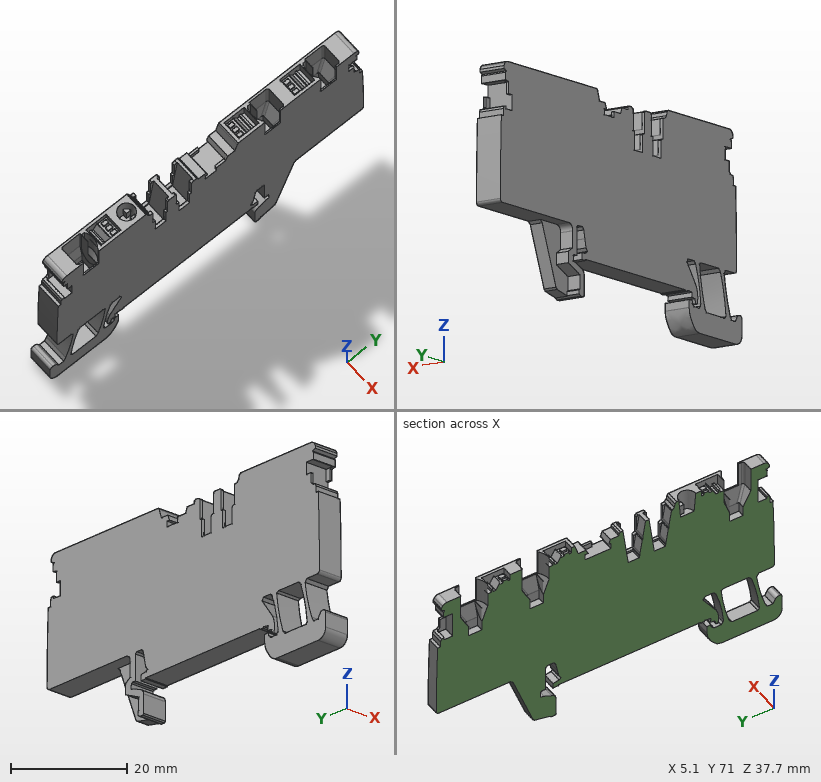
import cadquery as cq
import math



thickness = 5.1
height = 37.65
overall_length = 70.99
housing_length = 69.4
housing_base_z = 12.5
rail_seat_z = 6.9
joint_overlap = 0.5

half_thickness = thickness / 2
housing_end = housing_length / 2
foot_end = housing_end - overall_length

ear_thickness = 0.47
end_cavity_depth = 3.35
end_cavity_bottom = 29.2
end_cavity_middle = 32.0
end_cavity_top = 34.3
upper_ear_inset = 2.4
lower_ear_inset = 2.15
end_cut_margin = 0.5

shelf_z = 35.6
shelf_floor_z = 34.5
shelf_cavity_floor_z = 33.45
shelf_cavity_start = -1.1
shelf_cavity_middle = 1.4
shelf_cavity_end = 4.1

slot_pitch = 5.35
slot_narrow_start = -4.72
slot_narrow_width = 2.35
slot_wide_start = -4.32
slot_wide_width = 3.35
slot_floor_z = 28.8
slot_step_z = 32.2
slot_rib_z = 36.3
slot_rim_chamfer = 0.3
slot_pocket_width = 3.9
slot_pocket_drop = 0.4
slot_pocket_start = -3.65
slot_pocket_end = -8.2
slot_pocket_floor_end = -6.9

entry_pitch = 12.6
outer_entry_y = 29.6
single_entry_y = 29.8
entry_length = 4.25
entry_floor_length = 2.65
entry_depth = 10.0
entry_mouth_depth = 5.0
funnel_depth = 3.0
entry_left = -2.1
entry_right = 2.25
entry_floor_left = -1.55
entry_floor_right = 1.3
entry_corner_radius = 0.4
entry_window_length = 3.5
entry_window_offset = 1.1
guide_top_radius = 3.3
guide_floor_radius = 2.15
guide_left = -1.75
guide_center_offset = 2.1

release_offset = 5.5
release_length = 4.55
release_width = 3.9
release_depth = 2.2
lever_height = 1.4
lever_ramp_start = 1.6
lever_ramp_end = 2.5
plateau_height = 1.0
rib_offset = 0.75
rib_width = 0.4
rib_height = 0.6
pad_pitch = 1.15
pad_width = 0.75
pad_length = 1.1
pad_height = 0.4
pad_offset = 3.6

socket_y = -16.8
socket_top_radius = 1.7
socket_floor_radius = 1.35
socket_depth = 4.0
socket_key_size = 1.0
socket_key_x = 0.5
socket_key_y = 0.4

web_recess = half_thickness


def extrude_profile(sketch, x_start=-half_thickness, x_end=half_thickness):
    """Extrude a closed YZ wire between two X positions."""
    return sketch.extrude(x_end - x_start).translate((x_start, 0, 0))


def box(x_range, y_range, z_range):
    """Axis-aligned block from its three coordinate ranges, each in either order."""
    lows = [min(r) for r in (x_range, y_range, z_range)]
    sizes = [abs(r[1] - r[0]) for r in (x_range, y_range, z_range)]
    return cq.Workplane("XY").box(*sizes, centered=False).translate(tuple(lows))


def housing_end_points(side):
    """Stepped upper edge of one housing end, from the top down; side is +1 or -1 along Y."""
    inset_and_z = [
        (1.3, 37.2),
        (1.05, 36.7),
        (1.05, 36.2),
        (1.75, 35.9),
        (1.5, 35.6),
        (1.5, 34.3),
        (upper_ear_inset, 34.1),
        (upper_ear_inset, end_cavity_middle),
        (lower_ear_inset, end_cavity_middle),
        (lower_ear_inset, 30.1),
        (1.75, 29.7),
        (1.1, 29.6),
        (0.88, 29.1),
        (0.88, 27.9),
        (0.28, 27.9),
    ]
    return [(side * (housing_end - inset), z) for inset, z in inset_and_z]


def slot_points(index):
    """One stepped bridge slot in the outline, from its +Y rim to its -Y rim."""
    shift = -index * slot_pitch
    wide_end = slot_wide_start - slot_wide_width
    narrow_end = slot_narrow_start - slot_narrow_width
    rim_z = slot_rib_z - slot_rim_chamfer
    y_and_z = [
        (slot_wide_start, rim_z),
        (slot_wide_start, slot_step_z),
        (slot_narrow_start, slot_step_z),
        (slot_narrow_start, slot_floor_z),
        (narrow_end, slot_floor_z),
        (narrow_end, slot_step_z - 0.25),
        (wide_end, slot_step_z + 0.1),
        (wide_end, rim_z),
    ]
    return [(y + shift, z) for y, z in y_and_z]


def make_housing():
    """Full-thickness housing with the stepped top, the rail seat and the rail hook."""
    top_corner_inset = 2.2
    top_arc_inset = 1.65
    top_arc_z = height - 0.15
    flank_mid_z = 20.6
    flank_mid_inset = 0.07
    base_corner = 0.6
    base_top_z = housing_base_z + base_corner
    base_arc_inset = base_corner * (1 - math.sqrt(0.5))
    base_arc_z = housing_base_z + base_arc_inset
    left_ends = housing_end_points(1)
    right_ends = housing_end_points(-1)

    shelf_points = [
        (6.3, height),
        (6.1, 37.3),
        (5.54, shelf_z),
        (3.95, shelf_z),
        (3.45, shelf_floor_z),
        (-0.6, shelf_floor_z),
        (-1.0, shelf_z),
        (-2.75, shelf_z),
        (-2.8, 36.05),
        (-3.1, slot_rib_z),
        (-3.75, slot_rib_z),
    ]
    rib_top_points = [(-7.95, slot_rib_z), (-9.4, slot_rib_z)]
    tower_points = [(-13.7, 36.1), (-14.1, 36.6), (-14.25, 37.3), (-14.6, height)]

    hook_points = [
        (-20.45, housing_base_z),
        (-20.1, 11.9),
        (-22.75, 8.25),
    ]
    seat_points = [
        (-23.1, 5.0),
        (-22.7, 5.0),
        (-22.4, 5.85),
        (-21.5, 5.95),
        (-21.6, 6.8),
        (-20.5, 6.95),
        (-20.3, 6.75),
        (-19.6, 6.75),
        (-19.5, rail_seat_z),
        (9.55, rail_seat_z),
        (9.6, 6.7),
        (10.75, 6.7),
        (10.75, 7.85),
        (9.5, 8.05),
        (9.15, 8.4),
        (9.55, 8.95),
        (9.9, 10.5),
        (10.2, 12.0),
        (10.6, housing_base_z),
    ]

    outline = (
        cq.Workplane("YZ")
        .moveTo(housing_end - top_corner_inset, height)
        .lineTo(*shelf_points[0])
        .polyline(shelf_points[1:], includeCurrent=True)
        .polyline(slot_points(0), includeCurrent=True)
        .polyline(rib_top_points, includeCurrent=True)
        .polyline(slot_points(1), includeCurrent=True)
        .polyline(tower_points, includeCurrent=True)
        .lineTo(-housing_end + top_corner_inset, height)
        .threePointArc((-housing_end + top_arc_inset, top_arc_z), right_ends[0])
        .polyline(right_ends[1:], includeCurrent=True)
        .threePointArc((-housing_end + flank_mid_inset, flank_mid_z), (-housing_end, base_top_z))
        .threePointArc(
            (-housing_end + base_arc_inset, base_arc_z),
            (-housing_end + base_corner, housing_base_z),
        )
        .polyline(hook_points, includeCurrent=True)
        .threePointArc((-23.15, 7.2), seat_points[0])
        .polyline(seat_points[1:], includeCurrent=True)
        .lineTo(housing_end - base_corner, housing_base_z)
        .threePointArc((housing_end - base_arc_inset, base_arc_z), (housing_end, base_top_z))
        .threePointArc((housing_end - flank_mid_inset, flank_mid_z), left_ends[-1])
        .polyline(left_ends[-2::-1], includeCurrent=True)
        .threePointArc((housing_end - top_arc_inset, top_arc_z), (housing_end - top_corner_inset, height))
        .close()
    )
    return extrude_profile(outline)


def make_latch():
    """Rigid latch: a bent full-thickness strip backed by a triangular web."""
    joint_z = housing_base_z + joint_overlap
    strip = (
        cq.Workplane("YZ")
        .moveTo(14.55, joint_z)
        .lineTo(14.55, housing_base_z)
        .threePointArc((13.8, 12.15), (13.5, 11.25))
        .lineTo(13.5, 8.25)
        .lineTo(14.75, 7.4)
        .lineTo(14.75, 5.4)
        .lineTo(11.35, 3.9)
        .lineTo(11.35, 1.4)
        .lineTo(11.55, 1.2)
        .lineTo(11.55, 0.5)
        .lineTo(11.1, 0.15)
        .lineTo(10.3, 0.15)
        .lineTo(10.05, 0.4)
        .lineTo(10.05, 4.05)
        .threePointArc((10.35, 4.75), (11.0, 5.15))
        .lineTo(12.6, 5.8)
        .lineTo(13.3, 5.95)
        .lineTo(13.2, 6.95)
        .lineTo(12.9, 7.15)
        .lineTo(12.2, 7.15)
        .lineTo(12.2, 12.2)
        .lineTo(11.8, housing_base_z)
        .lineTo(11.8, joint_z)
        .close()
    )
    web = (
        cq.Workplane("YZ")
        .moveTo(19.4, joint_z)
        .lineTo(19.4, housing_base_z)
        .lineTo(18.9, 12.0)
        .lineTo(14.85, 1.4)
        .lineTo(14.5, 1.05)
        .lineTo(11.3, 0.4)
        .lineTo(11.0, 4.3)
        .lineTo(14.2, 5.8)
        .lineTo(14.2, 7.4)
        .lineTo(13.0, 8.25)
        .lineTo(13.0, joint_z)
        .close()
    )
    return extrude_profile(strip).union(extrude_profile(web, -half_thickness + web_recess))


def make_foot():
    """Spring foot: a hooked shoe hanging on two curved legs, with a window between them."""
    joint_z = housing_base_z + joint_overlap
    toe_radius = 1.9
    toe_arc_inset = toe_radius * (1 - math.sqrt(0.5))
    shoe = (
        cq.Workplane("YZ")
        .moveTo(-22.2, joint_z)
        .lineTo(-22.2, housing_base_z)
        .lineTo(-22.65, 12.0)
        .threePointArc((-23.65, 8.6), (-24.15, 5.3))
        .lineTo(-24.1, 4.85)
        .lineTo(-23.7, 4.4)
        .lineTo(-22.25, 4.4)
        .lineTo(-21.75, 4.9)
        .lineTo(-21.6, 5.5)
        .lineTo(-20.75, 5.4)
        .lineTo(-20.75, 4.0)
        .spline([(-21.75, 1.4), (-23.95, 0)], tangents=[(0, -1), (-1, 0)], includeCurrent=True)
        .lineTo(foot_end + toe_radius, 0)
        .threePointArc((foot_end + toe_arc_inset, toe_arc_inset), (foot_end, toe_radius))
        .lineTo(foot_end, 4.7)
        .threePointArc((foot_end + 0.18, 5.12), (foot_end + 0.6, 5.3))
        .threePointArc((-35.1, 5.15), (-34.8, 4.8))
        .lineTo(-34.3, 4.0)
        .lineTo(-33.2, 4.0)
        .lineTo(-32.75, 4.85)
        .threePointArc((-31.65, 8.6), (-31.05, 11.9))
        .lineTo(-31.5, housing_base_z)
        .lineTo(-31.5, joint_z)
        .close()
    )
    window = (
        cq.Workplane("YZ")
        .moveTo(-24.3, housing_base_z)
        .lineTo(-23.8, 12.2)
        .threePointArc((-24.4, 8.3), (-25.4, 4.6))
        .lineTo(-25.9, 4.0)
        .lineTo(-31.2, 4.0)
        .lineTo(-31.55, 4.35)
        .threePointArc((-30.95, 8.3), (-29.95, 11.9))
        .lineTo(-29.4, housing_base_z)
        .close()
    )
    return extrude_profile(shoe).cut(extrude_profile(window))


def end_marker_recess(side):
    """Marker recess in one housing end; the open halves of the two ends are mirrored."""
    inner_x = half_thickness - ear_thickness
    cavity_y = housing_end - end_cavity_depth
    outside_y = housing_end - lower_ear_inset + end_cut_margin
    y_range = (side * cavity_y, side * outside_y)
    middle = box((-inner_x, inner_x), y_range, (end_cavity_bottom, end_cavity_top))
    lower_side = box((0, -side * half_thickness), y_range, (end_cavity_bottom, end_cavity_middle))
    upper_side = box((0, side * half_thickness), y_range, (end_cavity_middle, end_cavity_top))
    return middle.union(lower_side).union(upper_side)


def shelf_marker_recess():
    """Marker recess in the shelf floor, reaching under the shelf edges."""
    inner_x = half_thickness - ear_thickness
    z_range = (shelf_cavity_floor_z, shelf_floor_z)
    middle = box((-inner_x, inner_x), (shelf_cavity_start, shelf_cavity_end), z_range)
    left_side = box((-half_thickness, 0), (shelf_cavity_middle, shelf_cavity_end), z_range)
    right_side = box((0, half_thickness), (shelf_cavity_start, shelf_cavity_middle), z_range)
    return middle.union(left_side).union(right_side)


def bridge_pocket(index):
    """Tapered pocket between the side walls of one bridge slot."""
    floor_z = slot_floor_z - slot_pocket_drop
    pocket = cq.Workplane("YZ").polyline([
        (slot_pocket_start, slot_rib_z),
        (slot_narrow_start, floor_z),
        (slot_pocket_floor_end, floor_z),
        (slot_pocket_end, slot_rib_z),
    ]).close()
    solid = extrude_profile(pocket, -slot_pocket_width / 2, slot_pocket_width / 2)
    return solid.translate((0, -index * slot_pitch, 0))


def wire_entry(outer_y):
    """Straight mouth open to +X, then a funnel into a well; a round guide faces the lever."""
    mouth_z = height - entry_mouth_depth
    funnel_z = mouth_z - funnel_depth
    well_z = height - entry_depth
    inner_y = outer_y - entry_length
    top_width = entry_right - entry_left
    top_x = (entry_left + entry_right) / 2
    floor_x = (entry_floor_left + entry_floor_right) / 2
    top_y = inner_y + entry_length / 2
    floor_y = inner_y + entry_floor_length / 2
    mouth = (
        cq.Workplane("XY", origin=(top_x, top_y, mouth_z))
        .rect(top_width, entry_length)
        .extrude(entry_mouth_depth)
        .edges("|Z and >Y")
        .fillet(entry_corner_radius)
    )
    funnel = (
        cq.Workplane("XY", origin=(floor_x, floor_y, funnel_z))
        .rect(entry_floor_right - entry_floor_left, entry_floor_length)
        .workplane(offset=funnel_depth)
        .center(top_x - floor_x, top_y - floor_y)
        .rect(top_width, entry_length)
        .loft(ruled=True)
        .edges("not (|X or |Y)")
        .edges(">Y")
        .fillet(entry_corner_radius)
    )
    well = box(
        (entry_floor_left, entry_floor_right),
        (inner_y, inner_y + entry_floor_length),
        (well_z, funnel_z),
    )
    window_y = outer_y - entry_window_offset
    window = box((0, half_thickness), (window_y, window_y - entry_window_length), (mouth_z, height))

    guide_y = inner_y + guide_center_offset
    guide = cq.Workplane("XY", origin=(0, guide_y, mouth_z)).circle(guide_top_radius)
    guide = guide.extrude(entry_mouth_depth)
    cone = cq.Solid.makeCone(
        guide_floor_radius, guide_top_radius, funnel_depth, pnt=cq.Vector(0, guide_y, funnel_z)
    )
    guide_limit = box(
        (guide_left, entry_right),
        (guide_y - guide_floor_radius, guide_y - guide_top_radius),
        (funnel_z, height),
    )
    guide = guide.union(cq.Workplane(cone)).intersect(guide_limit)
    return mouth.union(funnel).union(well).union(window).union(guide)


def release_pocket(outer_y):
    """Lever pocket: a flat recess around a cross rib, a ramp with a plateau and three pads."""
    floor_z = height - release_depth
    half_width = release_width / 2
    inner_y = outer_y - release_length
    pocket = box((-half_width, half_width), (inner_y, outer_y), (floor_z, height))

    plateau_z = floor_z + plateau_height
    ramp_foot_y = outer_y - lever_ramp_start
    ramp_top_y = outer_y - lever_ramp_end
    lever = cq.Workplane("YZ").polyline([
        (ramp_foot_y, floor_z),
        (ramp_top_y, floor_z + lever_height),
        (ramp_top_y, plateau_z),
        (inner_y, plateau_z),
        (inner_y, floor_z),
    ]).close()
    pocket = pocket.cut(extrude_profile(lever, -half_width, half_width))

    rib_y = outer_y - rib_offset
    rib = box((-half_width, half_width), (rib_y, rib_y - rib_width), (floor_z, floor_z + rib_height))
    pocket = pocket.cut(rib)

    pad_y = outer_y - pad_offset
    for position in (-1, 0, 1):
        pad_x = position * pad_pitch
        pad = box(
            (pad_x - pad_width / 2, pad_x + pad_width / 2),
            (pad_y - pad_length / 2, pad_y + pad_length / 2),
            (plateau_z, plateau_z + pad_height),
        )
        pocket = pocket.cut(pad)
    return pocket


def clamp_point(outer_y):
    """Wire entry and release pocket of one clamp."""
    return wire_entry(outer_y).union(release_pocket(outer_y - release_offset))


def mirrored_clamp_point(outer_y):
    """Clamp on the -Y half: mirrored along Y, with the open side still on +X."""
    return clamp_point(outer_y).mirror("XZ")


def round_socket():
    """Tapered round socket with two key blocks standing in its +Y corners."""
    floor_z = height - socket_depth
    socket = cq.Workplane(
        cq.Solid.makeCone(
            socket_floor_radius, socket_top_radius, socket_depth, pnt=cq.Vector(0, socket_y, floor_z)
        )
    )
    key_y = socket_y + socket_key_y
    for side in (-1, 1):
        key = box(
            (side * socket_key_x, side * (socket_key_x + socket_key_size)),
            (key_y, key_y + socket_key_size),
            (floor_z, height - socket_depth / 2),
        )
        socket = socket.cut(key)
    return socket


result = make_housing().union(make_latch()).union(make_foot())
for end_side in (-1, 1):
    result = result.cut(end_marker_recess(end_side))
result = result.cut(shelf_marker_recess())
for slot_index in (0, 1):
    result = result.cut(bridge_pocket(slot_index))
for clamp_index in (0, 1):
    result = result.cut(clamp_point(outer_entry_y - clamp_index * entry_pitch))
result = result.cut(mirrored_clamp_point(single_entry_y))
result = result.cut(round_socket())